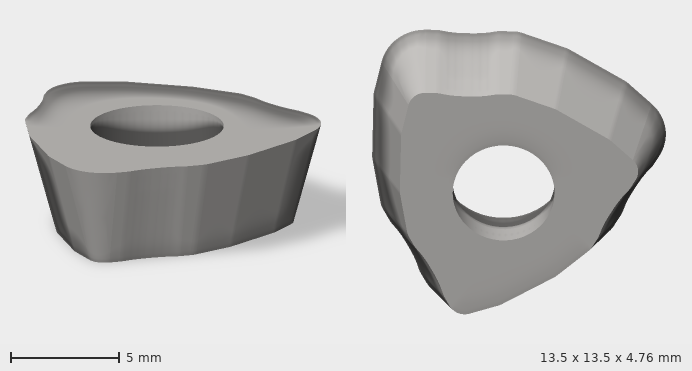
import cadquery as cq
import math


thickness = 4.76
relief_angle = 15.0
lobe_count = 3
lobe_pitch = 360.0 / lobe_count

lead_normal, lead_distance = -101.0, 5.99
middle_normal, middle_distance = -90.0, 6.06
trail_normal, trail_distance = -78.0, 6.54
grooved_normal, grooved_distance = 0.0, 6.15

nose_radius = 2.06
edge_radius = 1.0

groove_position = -1.765
groove_depth = 0.135
groove_floor_width = 0.45
groove_arc_radius = 4.8
groove_mouth_clearance = 0.1

head_radius = 3.08
head_depth = 2.0
bore_radius = 2.35
seat_radius = 1.6

edge_match_tolerance = 0.02


def polar(distance, angle):
    """Point at the given distance from the axis in the given direction."""
    return (
        distance * math.cos(math.radians(angle)),
        distance * math.sin(math.radians(angle)),
    )


def turned(point, angle):
    """Point rotated about the axis."""
    return polar(math.hypot(*point), math.degrees(math.atan2(point[1], point[0])) + angle)


def shifted(point, distance, angle):
    """Point moved by a distance in the given direction."""
    step = polar(distance, angle)
    return (point[0] + step[0], point[1] + step[1])


def crossing(normal_a, distance_a, normal_b, distance_b):
    """Intersection of two lines, each given by its normal direction and distance from the axis."""
    ax, ay = polar(1, normal_a)
    bx, by = polar(1, normal_b)
    determinant = ax * by - ay * bx
    return (
        (distance_a * by - distance_b * ay) / determinant,
        (distance_b * ax - distance_a * bx) / determinant,
    )


groove_lead_corner = crossing(
    grooved_normal - lobe_pitch, grooved_distance, lead_normal, lead_distance
)
lead_middle_corner = crossing(lead_normal, lead_distance, middle_normal, middle_distance)
middle_trail_corner = crossing(middle_normal, middle_distance, trail_normal, trail_distance)
nose_center = crossing(
    trail_normal, trail_distance - nose_radius, grooved_normal, grooved_distance - nose_radius
)
nose_start = shifted(nose_center, nose_radius, trail_normal)
nose_middle = shifted(nose_center, nose_radius, (trail_normal + grooved_normal) / 2)
nose_end = shifted(nose_center, nose_radius, grooved_normal)

groove_arc_span = math.sqrt(groove_arc_radius**2 - (groove_arc_radius - groove_depth) ** 2)
groove_lip_offset = groove_floor_width / 2 + groove_arc_span


def insert_body():
    """Top outline drawn in towards the bottom by the relief angle."""
    outline = cq.Workplane("XY").workplane(offset=thickness).moveTo(*groove_lead_corner)
    for lobe in range(lobe_count):
        angle = lobe * lobe_pitch
        outline = (
            outline.lineTo(*turned(lead_middle_corner, angle))
            .lineTo(*turned(middle_trail_corner, angle))
            .lineTo(*turned(nose_start, angle))
            .threePointArc(turned(nose_middle, angle), turned(nose_end, angle))
        )
        if lobe < lobe_count - 1:
            outline = outline.lineTo(*turned(groove_lead_corner, angle + lobe_pitch))
    return outline.close().extrude(-thickness, taper=relief_angle)


def groove_cutter():
    """Groove section swept down along the slope of the grooved flank."""
    floor_x = grooved_distance - groove_depth
    floor_half = groove_floor_width / 2
    arc_center_x = floor_x + groove_arc_radius

    mouth_x = grooved_distance + groove_mouth_clearance
    mouth_half = floor_half + math.sqrt(groove_arc_radius**2 - (arc_center_x - mouth_x) ** 2)
    middle_angle = math.asin((mouth_half - floor_half) / groove_arc_radius) / 2
    middle_x = arc_center_x - groove_arc_radius * math.cos(middle_angle)
    middle_half = floor_half + groove_arc_radius * math.sin(middle_angle)

    section = (
        cq.Workplane("XY")
        .workplane(offset=thickness)
        .moveTo(floor_x, groove_position - floor_half)
        .lineTo(floor_x, groove_position + floor_half)
        .threePointArc(
            (middle_x, groove_position + middle_half), (mouth_x, groove_position + mouth_half)
        )
        .lineTo(mouth_x, groove_position - mouth_half)
        .threePointArc(
            (middle_x, groove_position - middle_half), (floor_x, groove_position - floor_half)
        )
        .close()
    )
    flank_run = thickness * math.tan(math.radians(relief_angle))
    slope = cq.Vector(-flank_run, 0, -thickness)
    return cq.Solid.extrudeLinear(section.wires().val(), [], slope)


def soften_flank_edges(body):
    """Round the flank edges that start from the listed corners of the top face."""
    lips = [
        (grooved_distance, groove_position - groove_lip_offset),
        (grooved_distance, groove_position + groove_lip_offset),
    ]
    corners = [
        cq.Vector(*turned(corner, lobe * lobe_pitch), thickness)
        for corner in [groove_lead_corner, lead_middle_corner, middle_trail_corner] + lips
        for lobe in range(lobe_count)
    ]

    def starts_at_corner(edge):
        box = edge.BoundingBox()
        if box.zlen < thickness / 2:
            return False
        top = max((edge.startPoint(), edge.endPoint()), key=lambda point: point.z)
        return any((top - corner).Length < edge_match_tolerance for corner in corners)

    return body.edges().filter(starts_at_corner).fillet(edge_radius)


def screw_hole():
    """Head recess, rounded seat and bore as one turned shape."""
    seat_sweep = math.acos(1 - (head_radius - bore_radius) / seat_radius)
    seat_top = thickness - head_depth
    seat_bottom = seat_top - seat_radius * math.sin(seat_sweep)
    seat_middle = (
        bore_radius + seat_radius * (1 - math.cos(seat_sweep / 2)),
        seat_bottom + seat_radius * math.sin(seat_sweep / 2),
    )
    return (
        cq.Workplane("XZ")
        .lineTo(bore_radius, 0)
        .lineTo(bore_radius, seat_bottom)
        .threePointArc(seat_middle, (head_radius, seat_top))
        .lineTo(head_radius, thickness)
        .lineTo(0, thickness)
        .close()
        .revolve(360, (0, 0, 0), (0, 1, 0))
    )


axis_start = cq.Vector(0, 0, 0)
axis_end = cq.Vector(0, 0, 1)

body = insert_body()
for lobe in range(lobe_count):
    lobe_groove = groove_cutter().rotate(axis_start, axis_end, lobe * lobe_pitch)
    body = body.cut(cq.Workplane(lobe_groove))
body = soften_flank_edges(body)
result = body.cut(screw_hole())